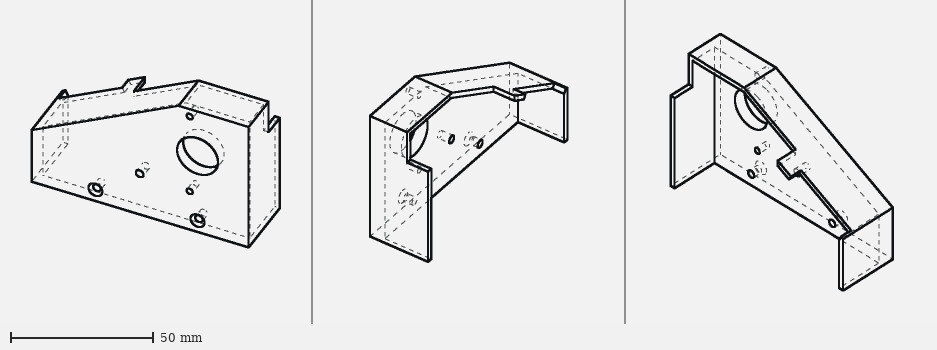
import cadquery as cq
import math

length = 85.0
depth = 25.0
height = 54.0

left_height = 23.1
slope_end_x = 57.55
slope = (height - left_height) / slope_end_x
slope_angle = math.atan(slope)

plate_thickness = 5.0
wall_thickness = 2.0
slope_drop = wall_thickness / math.cos(slope_angle)

roof_depth = 16.0
tab_left_x = 25.7
tab_right_x = 32.2
notch_left_x = 1.0
notch_front_y = 20.0

bore_diameter = 16.0
bore_center = (64.9, 34.0)
pin_diameter = 2.4
pin_x = 61.9
pin_centers = [(pin_x, 50.7), (pin_x, 17.2)]
screw_diameter = 3.0
pivot_center = (42.3, 18.3)
countersink_diameter = 5.4
countersink_angle = 90.0
screw_z = 5.1
screw_centers = [(25.0, screw_z), (bore_center[0], screw_z)]


def slope_z(x):
    """Height of the outer sloping face at x."""
    return left_height + slope * x


def box_between(x_range, y_range, z_range):
    """Box given by its limits along each axis."""
    size = [high - low for low, high in (x_range, y_range, z_range)]
    corner = (x_range[0], y_range[0], z_range[0])
    return cq.Workplane("XY").box(*size, centered=False).translate(corner)


def make_body():
    """Solid block with the sloping outline."""
    outline = [
        (0, 0),
        (length, 0),
        (length, height),
        (slope_end_x, height),
        (0, left_height),
    ]
    return cq.Workplane("XZ").polyline(outline).close().extrude(-depth)


def make_cavity():
    """Space behind the plate, open at the back and the bottom."""
    inner_left = wall_thickness
    inner_right = length - wall_thickness
    inner_top = height - wall_thickness
    inner_slope_end_x = (inner_top + slope_drop - left_height) / slope
    outline = [
        (inner_left, 0),
        (inner_right, 0),
        (inner_right, inner_top),
        (inner_slope_end_x, inner_top),
        (inner_left, slope_z(inner_left) - slope_drop),
    ]
    plane = cq.Workplane("XZ", origin=(0, plate_thickness, 0))
    return plane.polyline(outline).close().extrude(plate_thickness - depth)


def make_roof_notch():
    """Notch left of the tab, cut square to the sloping face."""
    notch_length = (tab_left_x - notch_left_x) / math.cos(slope_angle)
    notch_depth = 2 * wall_thickness
    block = box_between((0, notch_length), (notch_front_y, depth), (-notch_depth, notch_depth))
    tilted = block.rotate((0, 0, 0), (0, 1, 0), -math.degrees(slope_angle))
    return tilted.translate((notch_left_x, 0, slope_z(notch_left_x)))


def make_rear_cuts():
    """Shorten the roof right of the tab and lower the rear of the right wall to the tab."""
    rear = (roof_depth, depth)
    roof_cut = box_between((tab_right_x, length - wall_thickness), rear, (0, height))
    wall_cut = box_between((tab_right_x, length), rear, (slope_z(tab_right_x), height))
    return roof_cut.union(wall_cut)


def drill(part, centers, diameter):
    """Plain holes along Y through the plate."""
    plane = cq.Workplane("XZ").pushPoints(centers)
    return part.cut(plane.circle(diameter / 2).extrude(-plate_thickness))


def countersink(part, centers):
    """Screw holes with a conical seat in the front face."""
    front = part.faces("<Y").workplane(origin=(0, 0, 0)).pushPoints(centers)
    return front.cskHole(screw_diameter, countersink_diameter, countersink_angle, plate_thickness)


result = make_body().cut(make_cavity())
result = result.cut(make_roof_notch()).cut(make_rear_cuts())
result = drill(result, [bore_center], bore_diameter)
result = drill(result, pin_centers, pin_diameter)
result = drill(result, [pivot_center], screw_diameter)
result = countersink(result, screw_centers)